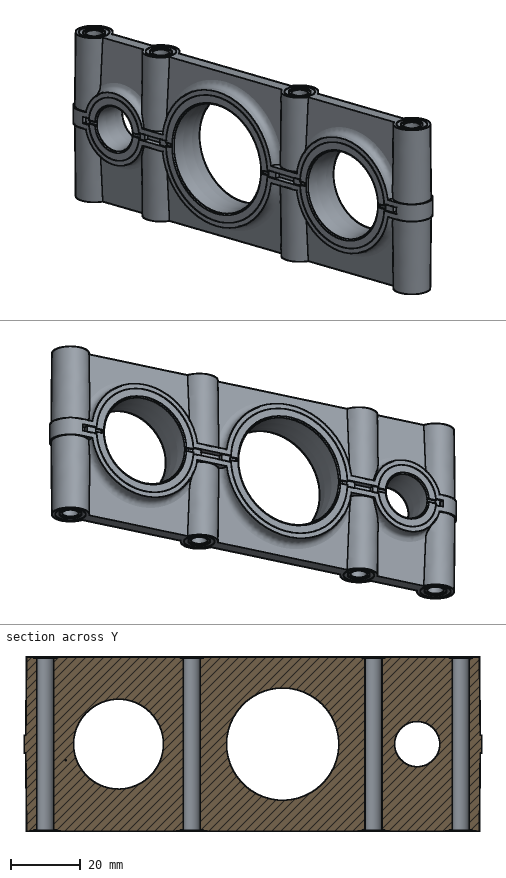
import cadquery as cq
import math

height = 50.0
half_height = height / 2
body_thickness = 12.0
insert_thickness = 12.2
boss_x = (-59.5, -34.5, 17.5, 59.5)
bore_radii = (6.4, 16.0, 12.8)
bore_x = [(left + right) / 2 for left, right in zip(boss_x, boss_x[1:])]

web_top_thickness = 4.1
web_draft = 3.0
web_overlap = 3.0

boss_end_radius = 5.35
boss_draft = 0.6
screw_hole_radius = 2.4
screw_recess_radius = 3.2
screw_recess_depth = 0.4
boss_rim_radius = 4.4
boss_rim_height = 0.1

insert_wall = 3.0
ring_wall = 4.5
ring_fillet = 2.0
ring_draft = 2.0
bore_land_width = 4.0
bore_flare = 0.3
bore_chamfer = 0.4

collar_height = 5.2

gap_height = 2.0
gap_end_inset = 0.8
gap_shallow_depth = 0.5
gap_deep_depth = 2.0
insert_flange_radii = (11.0, 21.7, 18.6)
insert_split_height = 1.0
insert_split_depth = 0.5
unsplit_lips = (0.0, 1.2, 1.2)


def disc(x, radius, thickness):
    """Cylinder along Y, centred on the XZ plane."""
    return cq.Workplane("XZ").center(x, 0).circle(radius).extrude(thickness / 2, both=True)


def revolved_about_y(outline):
    """Solid of revolution about the Y axis from (radius, y) points."""
    return cq.Workplane("XY").polyline(outline).close().revolve(360, (0, 0), (0, 1))


def ring_block(x, face_radius):
    """Ring body, drafted so that it widens from the front and back faces to the web."""
    half = body_thickness / 2
    middle_radius = face_radius + half * math.tan(math.radians(ring_draft))
    outline = [(0, -half), (face_radius, -half), (middle_radius, 0), (face_radius, half), (0, half)]
    return revolved_about_y(outline).translate((x, 0, 0))


def upper_web_with_rings():
    """Upper half of the drafted web, with the rings filleted into it."""
    top = web_top_thickness / 2
    middle = top + half_height * math.tan(math.radians(web_draft))
    web_length = boss_x[-1] - boss_x[0] + 2 * web_overlap
    web = (
        cq.Workplane("YZ")
        .polyline([(-middle, 0), (middle, 0), (top, half_height), (-top, half_height)])
        .close()
        .extrude(web_length)
        .translate((boss_x[0] - web_overlap, 0, 0))
    )
    upper_space = cq.Workplane("XY").box(
        web_length, body_thickness, height, centered=(True, True, False)
    )
    for x, bore_radius in zip(bore_x, bore_radii):
        radius = bore_radius + ring_wall
        web = web.union(ring_block(x, radius).intersect(upper_space))
        foot_edges = cq.selectors.BoxSelector(
            (x - radius, -middle, radius / 4), (x + radius, middle, radius)
        )
        web = web.edges(foot_edges).fillet(ring_fillet)
    return web


def boss(x):
    """Screw boss, widest at mid-height."""
    middle_radius = boss_end_radius + half_height * math.tan(math.radians(boss_draft))
    outline = [
        (0, -half_height),
        (boss_end_radius, -half_height),
        (middle_radius, 0),
        (boss_end_radius, half_height),
        (0, half_height),
    ]
    return cq.Workplane("XZ").polyline(outline).close().revolve(360, (0, 0), (0, 1)).translate((x, 0, 0))


def screw_hole(x):
    """Through hole with two shallow concentric recesses at each end."""
    hole = cq.Workplane("XY").center(x, 0).circle(screw_hole_radius).extrude(half_height, both=True)
    for radius, depth in ((screw_recess_radius, screw_recess_depth), (boss_rim_radius, boss_rim_height)):
        for side in (-1, 1):
            recess = (
                cq.Workplane("XY", origin=(x, 0, side * half_height))
                .circle(radius)
                .extrude(-side * depth)
            )
            hole = hole.union(recess)
    return hole


def collar():
    """Round-ended band around the block at mid-height."""
    length = boss_x[-1] - boss_x[0] + body_thickness
    return cq.Workplane("XY").slot2D(length, body_thickness).extrude(collar_height / 2, both=True)


def bore(x, radius):
    """Bore with a straight middle land, flared outwards to a chamfer at each face."""
    land = bore_land_width / 2
    half = insert_thickness / 2
    flare_end = half - bore_chamfer
    flare_radius = radius + bore_flare
    mouth_radius = flare_radius + bore_chamfer
    outline = [
        (0, -half),
        (mouth_radius, -half),
        (flare_radius, -flare_end),
        (radius, -land),
        (radius, land),
        (flare_radius, flare_end),
        (mouth_radius, half),
        (0, half),
    ]
    return revolved_about_y(outline).translate((x, 0, 0))


def face_slab(x_start, x_end, slot_height, outer_y, depth):
    """Pair of slots sunk to `depth` in the front and back faces, centred on mid-height."""
    length = x_end - x_start
    x_middle = (x_start + x_end) / 2
    slots = cq.Workplane("XY")
    for side in (-1, 1):
        y = side * (outer_y - depth / 2)
        slots = slots.union(cq.Workplane("XY").box(length, depth, slot_height).translate((x_middle, y, 0)))
    return slots


def parting_gap():
    """Gap along mid-height: shallow over the insert flanges, deep between them."""
    first = boss_x[0] + gap_end_inset
    last = boss_x[-1] - gap_end_inset
    gap = face_slab(first, last, gap_height, body_thickness / 2, gap_shallow_depth)
    deep_starts = [first] + [x + r for x, r in zip(bore_x, insert_flange_radii)]
    deep_ends = [x - r for x, r in zip(bore_x, insert_flange_radii)] + [last]
    for start, end in zip(deep_starts, deep_ends):
        gap = gap.union(face_slab(start, end, gap_height, body_thickness / 2, gap_deep_depth))
    return gap


def insert_split(x, insert_radius, unsplit_radius):
    """Narrow split across the faces of one insert, stopping short of the bore by its lip."""
    split = cq.Workplane("XY")
    for start, end in ((-insert_radius, -unsplit_radius), (unsplit_radius, insert_radius)):
        slots = face_slab(x + start, x + end, insert_split_height, insert_thickness / 2, insert_split_depth)
        split = split.union(slots)
    return split


upper_half = upper_web_with_rings()
result = upper_half.union(upper_half.mirror("XY")).union(collar())
for x in boss_x:
    result = result.union(boss(x))
result = result.cut(parting_gap())
for x, bore_radius, lip in zip(bore_x, bore_radii, unsplit_lips):
    insert_radius = bore_radius + insert_wall
    result = result.union(disc(x, insert_radius, insert_thickness))
    result = result.cut(insert_split(x, insert_radius, bore_radius + lip))
    result = result.cut(bore(x, bore_radius))
for x in boss_x:
    result = result.cut(screw_hole(x))